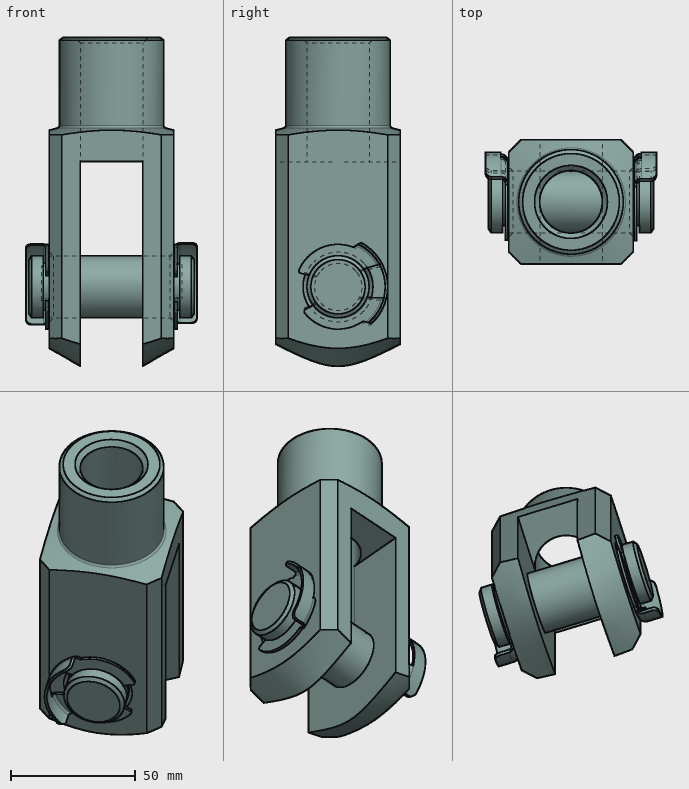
import cadquery as cq
import math


FORK_WIDTH = 50.0
SLOT_WIDTH = 25.0
SLOT_TOP_Z = 50.2
FORK_BOTTOM_Z = -32.0
FORK_TOP_Z = FORK_BOTTOM_Z + 132.0
CORNER_CHAMFER = 5.0
SHOULDER_Z = 62.8
SHOULDER_ANGLE = 15.0
TIP_ANGLE = 30.0
SHANK_RADIUS = 21.0
SHANK_CHAMFER_RADIAL = 1.6
SHANK_CHAMFER_AXIAL = 1.2
NECK_FILLET = 1.0
BORE_RADIUS = 12.5
BORE_CHAMFER = 2.1

PIN_RADIUS = SLOT_WIDTH / 2
PIN_HALF_LENGTH = 33.1
PIN_CHAMFER_RADIAL = 1.6
PIN_CHAMFER_AXIAL = 1.2
COUNTERSINK = 1.6
GROOVE_RADIUS = 9.5
GROOVE_WIDTH = 2.4

PLATE_THICKNESS = 1.2
STRAP_THICKNESS = 1.0
CLIP_GAP = 0.3
BEND_OUTER_RADIUS = 2.9
BEND_INNER_RADIUS = 1.0
STRAP_RADIUS = 19.9
STRAP_END_X = 34.3
STRAP_CORNER_RADIUS = 2.5
JAW_CORNER_RADIUS = 1.0
STRAP_HALF_WIDTH, STRAP_SLOPE = 11.5, 23.0
WINDOW_HALF_WIDTH, WINDOW_SLOPE = 4.0, 9.2
MOUTH_HALF_WIDTH, MOUTH_SLOPE = 2.0, 20.5
LEFT_CLIP_TILT = 4.7
RIGHT_CLIP_TILT = 7.4

SIDE_X = FORK_WIDTH / 2
CLIP_INNER_X = SIDE_X + CLIP_GAP
BEND_END_X = CLIP_INNER_X + BEND_OUTER_RADIUS
RING_RADIUS = STRAP_RADIUS - BEND_OUTER_RADIUS
CLEAR_RADIUS = FORK_WIDTH


def slope(degrees):
    return math.tan(math.radians(degrees))


def shoulder_height(radius):
    return SHOULDER_Z - (radius - SIDE_X) * slope(SHOULDER_ANGLE)


def tip_height(radius):
    return FORK_BOTTOM_Z + (radius - SLOT_WIDTH / 2) * slope(TIP_ANGLE)


def make_fork_blank():
    """Chamfered square bar, trimmed by a cone at each end."""
    bar = (
        cq.Workplane("XY", origin=(0, 0, FORK_BOTTOM_Z))
        .rect(FORK_WIDTH, FORK_WIDTH)
        .extrude(FORK_TOP_Z - FORK_BOTTOM_Z)
        .edges("|Z")
        .chamfer(CORNER_CHAMFER)
    )
    envelope = (
        cq.Workplane("XZ")
        .moveTo(0, FORK_BOTTOM_Z)
        .lineTo(SLOT_WIDTH / 2, FORK_BOTTOM_Z)
        .lineTo(CLEAR_RADIUS, tip_height(CLEAR_RADIUS))
        .lineTo(CLEAR_RADIUS, shoulder_height(CLEAR_RADIUS))
        .lineTo(0, shoulder_height(0))
        .close()
        .revolve(360, (0, 0, 0), (0, 1, 0))
    )
    return bar.intersect(envelope)


def make_shank():
    """Round shank with a chamfered top and a fillet running out on the shoulder cone."""
    center_r = SHANK_RADIUS + NECK_FILLET
    tilt = math.radians(SHOULDER_ANGLE)
    center_z = shoulder_height(center_r) + NECK_FILLET / math.cos(tilt)
    foot_r = center_r - NECK_FILLET * math.sin(tilt)
    foot_z = center_z - NECK_FILLET * math.cos(tilt)
    middle = math.radians(180 + (90 - SHOULDER_ANGLE) / 2)
    fillet_middle = (
        center_r + NECK_FILLET * math.cos(middle),
        center_z + NECK_FILLET * math.sin(middle),
    )
    return (
        cq.Workplane("XZ")
        .moveTo(0, SLOT_TOP_Z)
        .lineTo(foot_r, SLOT_TOP_Z)
        .lineTo(foot_r, foot_z)
        .threePointArc(fillet_middle, (SHANK_RADIUS, center_z))
        .lineTo(SHANK_RADIUS, FORK_TOP_Z - SHANK_CHAMFER_AXIAL)
        .lineTo(SHANK_RADIUS - SHANK_CHAMFER_RADIAL, FORK_TOP_Z)
        .lineTo(0, FORK_TOP_Z)
        .close()
        .revolve(360, (0, 0, 0), (0, 1, 0))
    )


def make_bore():
    """Bore from the shank top down into the slot, with a chamfered mouth."""
    return (
        cq.Workplane("XZ")
        .lineTo(BORE_RADIUS, 0)
        .lineTo(BORE_RADIUS, FORK_TOP_Z - BORE_CHAMFER)
        .lineTo(BORE_RADIUS + BORE_CHAMFER, FORK_TOP_Z)
        .lineTo(0, FORK_TOP_Z)
        .close()
        .revolve(360, (0, 0, 0), (0, 1, 0))
    )


def make_slot():
    return (
        cq.Workplane("XY", origin=(0, 0, FORK_BOTTOM_Z))
        .rect(SLOT_WIDTH, 2 * CLEAR_RADIUS)
        .extrude(SLOT_TOP_Z - FORK_BOTTOM_Z)
    )


def make_pin_hole():
    """Cross hole, countersunk on both fork sides."""
    return (
        cq.Workplane("XY")
        .moveTo(-SIDE_X, 0)
        .lineTo(-SIDE_X, PIN_RADIUS + COUNTERSINK)
        .lineTo(-SIDE_X + COUNTERSINK, PIN_RADIUS)
        .lineTo(SIDE_X - COUNTERSINK, PIN_RADIUS)
        .lineTo(SIDE_X, PIN_RADIUS + COUNTERSINK)
        .lineTo(SIDE_X, 0)
        .close()
        .revolve(360, (0, 0, 0), (1, 0, 0))
    )


def make_fork():
    solid = make_fork_blank().union(make_shank())
    return solid.cut(make_bore()).cut(make_slot()).cut(make_pin_hole())


def make_pin():
    """Pin with chamfered ends and a clip groove just outside each fork side."""
    half_profile = [
        (SIDE_X, PIN_RADIUS),
        (SIDE_X, GROOVE_RADIUS),
        (SIDE_X + GROOVE_WIDTH, GROOVE_RADIUS),
        (SIDE_X + GROOVE_WIDTH, PIN_RADIUS),
        (PIN_HALF_LENGTH - PIN_CHAMFER_AXIAL, PIN_RADIUS),
        (PIN_HALF_LENGTH, PIN_RADIUS - PIN_CHAMFER_RADIAL),
        (PIN_HALF_LENGTH, 0),
    ]
    mirrored = [(-x, r) for x, r in reversed(half_profile)]
    return (
        cq.Workplane("XY")
        .polyline(mirrored + half_profile)
        .close()
        .revolve(360, (0, 0, 0), (1, 0, 0))
    )


def make_wedge(half_width, side_slope, direction, x_end):
    """Prism along X, from the clip's inner face to x_end, widening from the pin axis along Y."""
    far_half_width = half_width + CLEAR_RADIUS * slope(side_slope)
    far_y = direction * CLEAR_RADIUS
    return (
        cq.Workplane("YZ", origin=(CLIP_INNER_X, 0, 0))
        .polyline([(0, -half_width), (far_y, -far_half_width), (far_y, far_half_width), (0, half_width)])
        .close()
        .extrude(x_end - CLIP_INNER_X)
    )


def make_clip_ring():
    """Flat ring in the groove, open towards -Y with rounded jaw tips."""
    ring = (
        cq.Workplane("YZ", origin=(CLIP_INNER_X, 0, 0))
        .circle(RING_RADIUS)
        .circle(GROOVE_RADIUS)
        .extrude(PLATE_THICKNESS)
        .cut(make_wedge(MOUTH_HALF_WIDTH, MOUTH_SLOPE, -1, BEND_END_X))
    )
    jaw_tips = cq.selectors.BoxSelector(
        (0, -CLEAR_RADIUS, -CLEAR_RADIUS),
        (CLEAR_RADIUS, -PIN_RADIUS, CLEAR_RADIUS),
    )
    return ring.edges("|X").edges(jaw_tips).fillet(JAW_CORNER_RADIUS)


def make_clip_strap():
    """Sheet that leaves the ring plane through a bend and runs outward around the pin end."""
    plate_outer_x = CLIP_INNER_X + PLATE_THICKNESS
    strap_inner_radius = STRAP_RADIUS - STRAP_THICKNESS
    inner_bend_x = plate_outer_x + BEND_INNER_RADIUS
    inner_bend_r = strap_inner_radius - BEND_INNER_RADIUS
    bend_diagonal = math.sqrt(0.5)
    outer_middle = (
        BEND_END_X - BEND_OUTER_RADIUS * bend_diagonal,
        RING_RADIUS + BEND_OUTER_RADIUS * bend_diagonal,
    )
    inner_middle = (
        inner_bend_x - BEND_INNER_RADIUS * bend_diagonal,
        inner_bend_r + BEND_INNER_RADIUS * bend_diagonal,
    )
    cup = (
        cq.Workplane("XY")
        .moveTo(CLIP_INNER_X, GROOVE_RADIUS)
        .lineTo(CLIP_INNER_X, RING_RADIUS)
        .threePointArc(outer_middle, (BEND_END_X, STRAP_RADIUS))
        .lineTo(STRAP_END_X, STRAP_RADIUS)
        .lineTo(STRAP_END_X, strap_inner_radius)
        .lineTo(inner_bend_x, strap_inner_radius)
        .threePointArc(inner_middle, (plate_outer_x, inner_bend_r))
        .lineTo(plate_outer_x, GROOVE_RADIUS)
        .close()
        .revolve(360, (0, 0, 0), (1, 0, 0))
    )
    strap_wedge = (
        make_wedge(STRAP_HALF_WIDTH, STRAP_SLOPE, 1, STRAP_END_X)
        .faces(">X")
        .edges("not(|Z)")
        .fillet(STRAP_CORNER_RADIUS)
    )
    return cup.intersect(strap_wedge)


def make_clip():
    """Right-hand clip with its strap towards +Y; a window parts the two jaws as far as the strap."""
    window = make_wedge(WINDOW_HALF_WIDTH, WINDOW_SLOPE, 1, BEND_END_X)
    return make_clip_ring().union(make_clip_strap()).cut(window)


fork = make_fork()
pin = make_pin()
clips = []
for mirrored, tilt in [(False, RIGHT_CLIP_TILT), (True, LEFT_CLIP_TILT)]:
    clip = make_clip().rotate((0, 0, 0), (1, 0, 0), tilt)
    if mirrored:
        clip = clip.mirror("YZ")
    clips.append(clip.solids().val())

result = cq.Compound.makeCompound([fork.solids().val(), pin.val(), *clips])